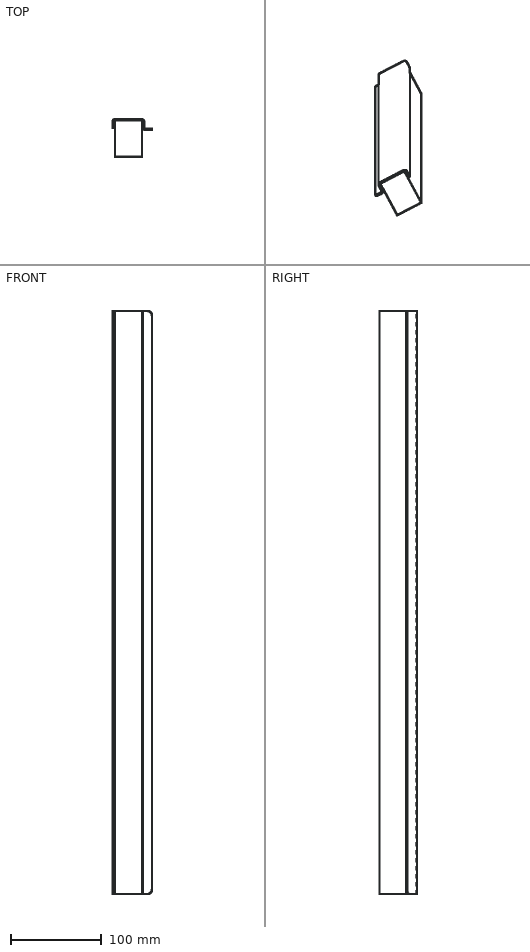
import cadquery as cq
import math

length = 642.0
overall_width = 43.5
overall_depth = 41.5

sheet = 1.5
bend_inner_radius = 1.5
bend_outer_radius = bend_inner_radius + sheet
left_leg_depth = 10.0
right_leg_depth = 12.0
flange_corner_radius = 5.0
leg_corner_radius = 4.0

bar_width = 30.0
bar_depth = overall_depth - sheet
side_gap = 1.0

bar_left = sheet + side_gap
channel_width = bar_width + 2 * bar_left
flange_back = sheet - right_leg_depth


def make_bar():
    """Solid rectangular bar, flush with the bracket at both ends."""
    bar = cq.Workplane("XY").box(bar_width, bar_depth, length, centered=False)
    return bar.translate((bar_left, -overall_depth, 0))


def bracket_profile():
    """Closed section: short left leg, back web, right leg and outward flange."""
    left_bend = (bend_outer_radius, -bend_outer_radius)
    right_bend = (channel_width - bend_outer_radius, -bend_outer_radius)
    flange_bend = (channel_width + bend_inner_radius, flange_back + bend_inner_radius)

    def on_bend(centre, radius, x_side, y_side):
        """Middle point of a quarter-circle bend."""
        reach = radius * math.cos(math.pi / 4)
        return (centre[0] + x_side * reach, centre[1] + y_side * reach)

    return (
        cq.Workplane("XY")
        .moveTo(0, -left_leg_depth)
        .lineTo(0, left_bend[1])
        .threePointArc(on_bend(left_bend, bend_outer_radius, -1, 1), (left_bend[0], 0))
        .lineTo(right_bend[0], 0)
        .threePointArc(on_bend(right_bend, bend_outer_radius, 1, 1), (channel_width, right_bend[1]))
        .lineTo(channel_width, flange_bend[1])
        .threePointArc(on_bend(flange_bend, bend_inner_radius, -1, -1), (flange_bend[0], flange_back))
        .lineTo(overall_width, flange_back)
        .lineTo(overall_width, -right_leg_depth)
        .lineTo(flange_bend[0], -right_leg_depth)
        .threePointArc(on_bend(flange_bend, bend_outer_radius, -1, -1), (channel_width - sheet, flange_bend[1]))
        .lineTo(channel_width - sheet, right_bend[1])
        .threePointArc(on_bend(right_bend, bend_inner_radius, 1, 1), (right_bend[0], -sheet))
        .lineTo(left_bend[0], -sheet)
        .threePointArc(on_bend(left_bend, bend_inner_radius, -1, 1), (sheet, left_bend[1]))
        .lineTo(sheet, -left_leg_depth)
        .close()
    )


def make_bracket():
    """Bent sheet bracket with rounded corners on the flange and the free leg."""
    bracket = bracket_profile().extrude(length)
    bracket = bracket.edges("|Y and >X").fillet(flange_corner_radius)
    return bracket.edges("|X").edges("<X").fillet(leg_corner_radius)


bar = make_bar()
bracket = make_bracket()
result = cq.Compound.makeCompound([bar.val(), bracket.val()])